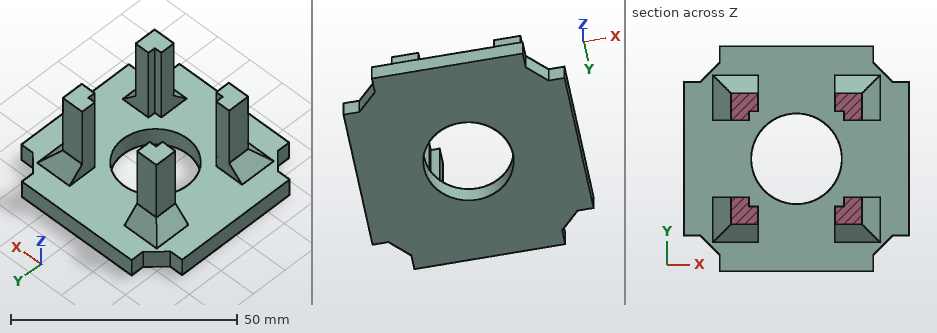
import cadquery as cq

plate_size = 49.8
plate_thickness = 5.0
bore_diameter = 20.0

relief_start = 17.0
relief_diagonal = 21.3

post_inner = 8.5
post_width = 6.0
flare = 4.0
post_notch = 2.0
overall_height = 26.0


def make_plate():
    """Square plate with relieved corners and a central through bore."""
    half = plate_size / 2
    plate = cq.Workplane("XY").rect(plate_size, plate_size).extrude(plate_thickness)
    relief = (
        cq.Workplane("XY")
        .moveTo(half, relief_start)
        .lineTo(relief_diagonal, relief_start)
        .lineTo(relief_start, relief_diagonal)
        .lineTo(relief_start, half)
        .lineTo(half, half)
        .close()
        .extrude(plate_thickness)
    )
    for turn in range(4):
        plate = plate.cut(relief.rotate((0, 0, 0), (0, 0, 1), 90 * turn))
    return plate.faces(">Z").workplane().hole(bore_diameter)


def inner_corner_square(side, height):
    """Workplane at a height with a square growing outward from the inward post corner."""
    return cq.Workplane("XY", origin=(post_inner, post_inner, height)).rect(side, side, centered=False)


def make_post():
    """Post in the +X +Y quadrant, standing on the plate."""
    post_height = overall_height - plate_thickness
    shaft = inner_corner_square(post_width, plate_thickness).extrude(post_height)
    foot = (
        inner_corner_square(post_width + flare, plate_thickness)
        .workplane(offset=flare)
        .rect(post_width, post_width, centered=False)
        .loft(ruled=True)
    )
    notch = inner_corner_square(post_notch, plate_thickness).extrude(post_height)
    return shaft.union(foot).cut(notch)


result = make_plate()
post = make_post()
for turn in range(4):
    result = result.union(post.rotate((0, 0, 0), (0, 0, 1), 90 * turn))